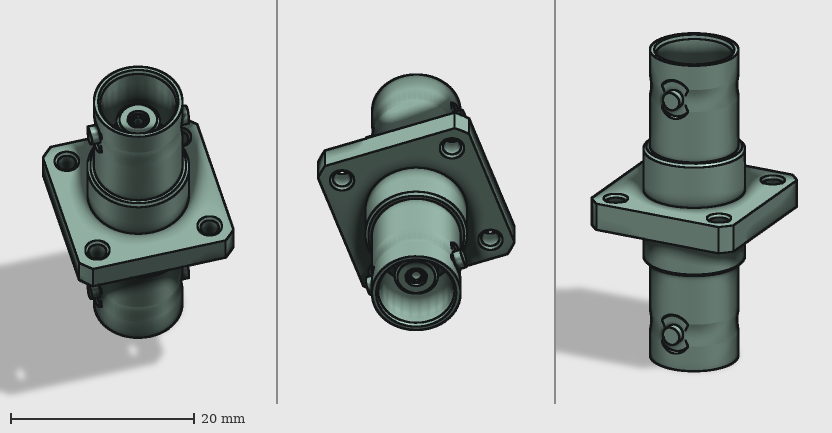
import cadquery as cq
import math

total_length = 35.9
half_length = total_length / 2

flange_width = 17.5
flange_thickness = 3.1
flange_corner_radius = 11.52
hole_spacing = 12.7
hole_diameter = 2.0
hole_mouth_chamfer = 0.32

collar_radius = 5.55
collar_half_length = 6.6
collar_chamfer = 0.32
barrel_radius = 4.85

pin_height = 13.8
groove_width = 2.6
groove_depth = 0.133

pin_radius = 1.0
pin_tip_radius = 5.55
spot_face_distance = 4.55
spot_face_floor_radius = 2.05
spot_face_rim_radius = 2.25

mouth_radius = 4.38
mouth_chamfer_depth = 0.43
bore_top_radius = 4.15
bore_floor_radius = 4.05
bore_depth = 8.25

insulator_radius = 2.37
insulator_chamfer = 0.305
insulator_setback = 3.15
recess_radius = 1.15
recess_depth = 3.23

contact_radius = 0.95
contact_setback = 0.2
contact_bore_radius = 0.57
contact_bore_depth = 2.15
contact_bore_chamfer = 0.18

bore_floor_z = half_length - bore_depth
insulator_top_z = half_length - insulator_setback
contact_top_z = insulator_top_z - contact_setback


def cylinder(radius, bottom, top):
    return cq.Workplane("XY").workplane(offset=bottom).circle(radius).extrude(top - bottom)


def flange():
    square = cq.Workplane("XY").box(flange_width, flange_width, flange_thickness)
    plate = square.intersect(cylinder(flange_corner_radius, -flange_thickness / 2, flange_thickness / 2))
    holes = (
        cq.Workplane("XY")
        .workplane(offset=-flange_thickness / 2)
        .rect(hole_spacing, hole_spacing, forConstruction=True)
        .vertices()
        .circle(hole_diameter / 2)
        .extrude(flange_thickness)
    )
    hole_rim = cq.selectors.RadiusNthSelector(0)
    return plate.cut(holes).edges("%CIRCLE").edges(hole_rim).chamfer(hole_mouth_chamfer)


def outer_body():
    """Upper half of the body turned about Z, with its groove and without the socket."""
    groove_bottom = pin_height - groove_width / 2
    groove_top = pin_height + groove_width / 2
    profile = (
        cq.Workplane("XZ")
        .moveTo(0, 0)
        .lineTo(collar_radius, 0)
        .lineTo(collar_radius, collar_half_length - collar_chamfer)
        .lineTo(collar_radius - collar_chamfer, collar_half_length)
        .lineTo(barrel_radius, collar_half_length)
        .lineTo(barrel_radius, groove_bottom)
        .threePointArc((barrel_radius - groove_depth, pin_height), (barrel_radius, groove_top))
        .lineTo(barrel_radius, half_length)
        .lineTo(0, half_length)
        .close()
    )
    return profile.revolve(360, (0, 0, 0), (0, 1, 0))


def socket():
    profile = (
        cq.Workplane("XZ")
        .moveTo(0, bore_floor_z)
        .lineTo(bore_floor_radius, bore_floor_z)
        .lineTo(bore_top_radius, half_length - mouth_chamfer_depth)
        .lineTo(mouth_radius, half_length)
        .lineTo(0, half_length)
        .close()
    )
    return profile.revolve(360, (0, 0, 0), (0, 1, 0))


def insulator():
    post = cylinder(insulator_radius, bore_floor_z, insulator_top_z).faces(">Z").chamfer(insulator_chamfer)
    recess = cylinder(recess_radius, insulator_top_z - recess_depth, insulator_top_z)
    return post.cut(recess)


def contact():
    bore_bottom_z = contact_top_z - contact_bore_depth
    return (
        cylinder(contact_radius, insulator_top_z - recess_depth, contact_top_z)
        .cut(cylinder(contact_bore_radius, bore_bottom_z, contact_top_z))
        .faces(">Z")
        .edges(cq.selectors.RadiusNthSelector(0))
        .chamfer(contact_bore_chamfer)
    )


def spot_face(side):
    """Conical pocket with a flat floor, opening outward along Y on the given side (+1 or -1)."""
    depth = barrel_radius - spot_face_distance
    half_angle = math.degrees(math.atan2(spot_face_rim_radius - spot_face_floor_radius, depth))
    return (
        cq.Workplane("XZ", origin=(0, side * spot_face_distance, pin_height))
        .circle(spot_face_floor_radius)
        .extrude(-side * depth, taper=-half_angle)
    )


def bayonet_pin(side):
    """Pin along Y whose tip is rounded about the Z axis."""
    pin = (
        cq.Workplane("XZ", origin=(0, side * spot_face_distance, pin_height))
        .circle(pin_radius)
        .extrude(-side * (pin_tip_radius - spot_face_distance))
    )
    return pin.intersect(cylinder(pin_tip_radius, pin_height - pin_radius, pin_height + pin_radius))


def upper_half():
    body = outer_body()
    for side in (-1, 1):
        body = body.cut(spot_face(side)).union(bayonet_pin(side))
    return body.cut(socket()).union(insulator()).union(contact())


upper = upper_half()
result = upper.union(upper.mirror("XY")).union(flange())